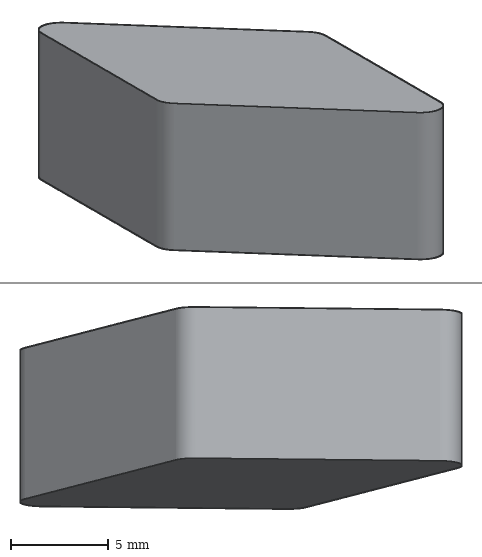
import cadquery as cq
import math

inscribed_diameter = 12.7
thickness = 7.94
acute_angle = math.radians(55)
corner_radius = 1.19

side_length = inscribed_diameter / math.sin(acute_angle)
lean = inscribed_diameter / math.tan(acute_angle)


def rhombus_corners():
    """Sharp corners of the rhombus, centred on the origin, counter-clockwise."""
    half_height = inscribed_diameter / 2
    upper_right = ((side_length + lean) / 2, half_height)
    upper_left = ((lean - side_length) / 2, half_height)
    lower_left = (-upper_right[0], -half_height)
    lower_right = (-upper_left[0], -half_height)
    return [lower_left, lower_right, upper_right, upper_left]


def make_insert():
    """Straight-sided rhombic prism with all four upright corners rounded."""
    prism = cq.Workplane("XY").polyline(rhombus_corners()).close().extrude(thickness)
    return prism.edges("|Z").fillet(corner_radius)


result = make_insert()